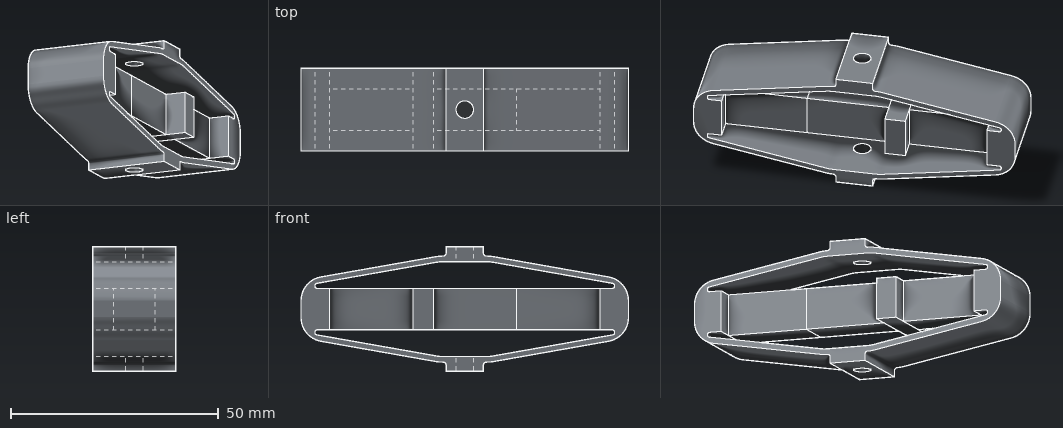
import cadquery as cq
import math


frame_length = 78.79
frame_depth = 20.0
frame_height = 30.0

stack_length = 20.0
stack_size = 10.0
stack_count = 3
spacer_length = 5.0
row_length = stack_count * stack_length + spacer_length

pad_width = 9.0
pad_fillet = 0.7
mount_hole_diameter = 4.2

arm_angle = math.radians(10.0)
arm_thickness = 1.4
shoulder_height = 12.78
bend_radius = 10.5
bend_flat_half = pad_width / 2 + pad_fillet
end_radius = 5.85
inner_shoulder_height = shoulder_height - arm_thickness
inner_bend_radius = bend_radius - arm_thickness

slot_end_x = 36.0
slot_radius = 0.5


def sharp_bend_x(radius):
    """X where the flat and the slope would meet without the bend rounding."""
    return bend_flat_half + radius * math.tan(arm_angle / 2)


def slope_z(x, bend_x, flat_z):
    """Height of an arm face at a distance x from the middle."""
    return flat_z - (x - bend_x) * math.tan(arm_angle)


def prism(points):
    """Extrude an XZ outline over the full depth of the frame."""
    return cq.Workplane("XZ").polyline(points).close().extrude(frame_depth / 2, both=True)


def round_corners(body, radius, x_min, x_max):
    """Fillet the depthwise edges whose distance from the middle lies between x_min and x_max."""
    edges = body.edges("|Y").filter(lambda edge: x_min < abs(edge.Center().x) < x_max)
    return edges.fillet(radius)


def frame_blank():
    """Solid outer shape of the frame, without the mounting pads."""
    end_x = frame_length / 2
    bend_x = sharp_bend_x(bend_radius)
    end_z = slope_z(end_x, bend_x, shoulder_height)
    blank = prism([
        (-end_x, -end_z), (-bend_x, -shoulder_height), (bend_x, -shoulder_height), (end_x, -end_z),
        (end_x, end_z), (bend_x, shoulder_height), (-bend_x, shoulder_height), (-end_x, end_z),
    ])
    blank = round_corners(blank, bend_radius, 0, slot_end_x)
    return round_corners(blank, end_radius, slot_end_x, frame_length)


def arm_window():
    """Opening between the row of stacks and the upper arm."""
    bend_x = sharp_bend_x(inner_bend_radius)
    floor_z = stack_size / 2
    slot_top_z = slope_z(slot_end_x, bend_x, inner_shoulder_height)
    window = prism([
        (-slot_end_x, floor_z), (slot_end_x, floor_z), (slot_end_x, slot_top_z),
        (bend_x, inner_shoulder_height), (-bend_x, inner_shoulder_height), (-slot_end_x, slot_top_z),
    ])
    window = round_corners(window, inner_bend_radius, 0, row_length / 2)
    return round_corners(window, slot_radius, row_length / 2, frame_length)


def mounting_pad():
    """Pad on the upper arm, flared into the shoulder by concave fillets."""
    half = pad_width / 2
    flare_z = shoulder_height + pad_fillet
    foot_x = bend_flat_half
    arc_offset = pad_fillet * (1 - math.sqrt(0.5))
    return (
        cq.Workplane("XZ")
        .moveTo(-foot_x, inner_shoulder_height)
        .lineTo(-foot_x, shoulder_height)
        .threePointArc((-half - arc_offset, shoulder_height + arc_offset), (-half, flare_z))
        .lineTo(-half, frame_height / 2)
        .lineTo(half, frame_height / 2)
        .lineTo(half, flare_z)
        .threePointArc((half + arc_offset, shoulder_height + arc_offset), (foot_x, shoulder_height))
        .lineTo(foot_x, inner_shoulder_height)
        .close()
        .extrude(frame_depth / 2, both=True)
    )


def make_frame():
    """Flexure frame with both arms, both pads and the mounting holes."""
    pad = mounting_pad()
    window = arm_window()
    row_space = cq.Workplane("XY").box(row_length, frame_depth, stack_size)
    mount_holes = cq.Workplane("XY").circle(mount_hole_diameter / 2).extrude(frame_height / 2, both=True)
    return (
        frame_blank()
        .union(pad)
        .union(pad.mirror("XY"))
        .cut(window)
        .cut(window.mirror("XY"))
        .cut(row_space)
        .cut(mount_holes)
    )


def make_stack(start_x):
    """Square piezo stack that begins at start_x."""
    return cq.Workplane("XY").box(stack_length, stack_size, stack_size).translate(
        (start_x + stack_length / 2, 0, 0)
    )


def make_spacer(start_x):
    """Spacer block, as deep as the frame, that begins at start_x."""
    return cq.Workplane("XY").box(spacer_length, frame_depth, stack_size).translate(
        (start_x + spacer_length / 2, 0, 0)
    )


row_start = -row_length / 2
spacer_start = row_start + stack_length
stack_starts = [row_start]
for index in range(stack_count - 1):
    stack_starts.append(spacer_start + spacer_length + index * stack_length)

frame = make_frame()
spacer = make_spacer(spacer_start)
stacks = [make_stack(start_x) for start_x in stack_starts]

result = cq.Compound.makeCompound([frame.val(), spacer.val(), *[stack.val() for stack in stacks]])